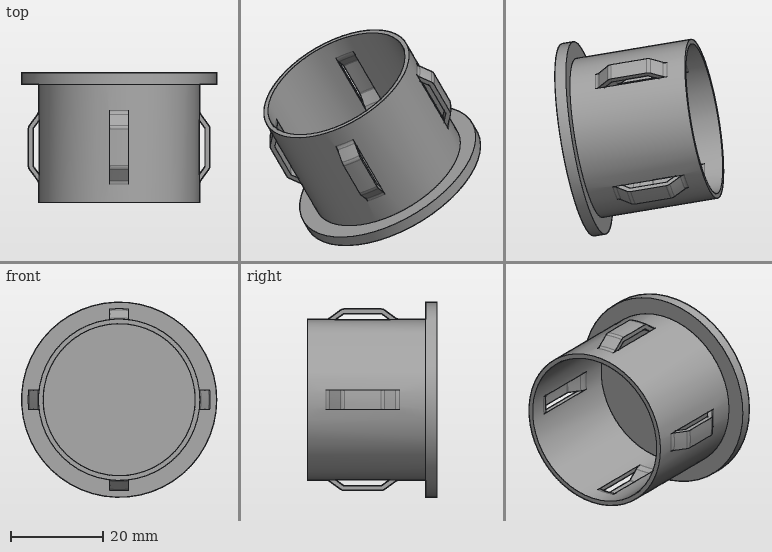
import cadquery as cq
import math

flange_radius = 21.2
flange_thickness = 2.5
total_length = 28.2
tube_radius = 17.5
wall = 1.0
bore_radius = tube_radius - wall

strap_count = 4
strap_width = 4.15
strap_rise = 2.25
strap_half_length = 7.95
strap_center = 16.2
ramp_angle = math.radians(36)
bend_radius = 1.4
sweep_angle = 60

back_y = total_length / 2
floor_y = back_y - flange_thickness
open_y = back_y - total_length
strap_y = back_y - strap_center


def disc(radius, start_y, end_y):
    """Solid cylinder about Y between two positions."""
    return cq.Workplane("XZ", origin=(0, end_y, 0)).circle(radius).extrude(end_y - start_y)


def bow(base_radius, closing_radius, foot_bend, crest_bend):
    """Bow on the +X side, revolved about Y and trimmed to the strap width.

    The bow leaves the base radius through a foot bend, climbs a straight ramp
    and turns through a crest bend into a plateau; both ends are alike.
    """
    def bend_point(bend, angle):
        return bend * math.sin(angle), bend * (1 - math.cos(angle))

    foot_mid_run, foot_mid_rise = bend_point(foot_bend, ramp_angle / 2)
    foot_run, foot_rise = bend_point(foot_bend, ramp_angle)
    crest_mid_run, crest_mid_drop = bend_point(crest_bend, ramp_angle / 2)
    crest_run, crest_drop = bend_point(crest_bend, ramp_angle)
    ramp_rise = strap_rise - foot_rise - crest_drop
    ramp_run = ramp_rise / math.tan(ramp_angle)
    plateau_half = strap_half_length - foot_run - ramp_run - crest_run
    crest_radius = base_radius + strap_rise

    def at(radius, offset):
        return radius, strap_y + offset

    profile = (
        cq.Workplane("XY")
        .moveTo(*at(closing_radius, -strap_half_length))
        .lineTo(*at(base_radius, -strap_half_length))
        .threePointArc(
            at(base_radius + foot_mid_rise, foot_mid_run - strap_half_length),
            at(base_radius + foot_rise, foot_run - strap_half_length),
        )
        .lineTo(*at(crest_radius - crest_drop, -plateau_half - crest_run))
        .threePointArc(
            at(crest_radius - crest_mid_drop, -plateau_half - crest_mid_run),
            at(crest_radius, -plateau_half),
        )
        .lineTo(*at(crest_radius, plateau_half))
        .threePointArc(
            at(crest_radius - crest_mid_drop, plateau_half + crest_mid_run),
            at(crest_radius - crest_drop, plateau_half + crest_run),
        )
        .lineTo(*at(base_radius + foot_rise, strap_half_length - foot_run))
        .threePointArc(
            at(base_radius + foot_mid_rise, strap_half_length - foot_mid_run),
            at(base_radius, strap_half_length),
        )
        .lineTo(*at(closing_radius, strap_half_length))
        .close()
    )
    swept = profile.revolve(sweep_angle, (0, 0), (0, 1)).rotate((0, 0, 0), (0, 1, 0), -sweep_angle / 2)
    trim = cq.Workplane("XY").box(2 * flange_radius, total_length, strap_width)
    return swept.intersect(trim.translate((flange_radius, 0, 0)))


def around_axis(shape):
    """Copies of a shape spaced evenly about Y."""
    return [
        shape.rotate((0, 0, 0), (0, 1, 0), index * 360 / strap_count)
        for index in range(strap_count)
    ]


result = disc(flange_radius, floor_y, back_y).union(disc(tube_radius, open_y, floor_y))
result = result.cut(disc(bore_radius, open_y, floor_y))

outer_bow = bow(tube_radius, bore_radius + wall / 2, bend_radius, bend_radius)
inner_bow = bow(bore_radius, bore_radius - wall, bend_radius + wall, bend_radius - wall)
for outer in around_axis(outer_bow):
    result = result.union(outer)
for inner in around_axis(inner_bow):
    result = result.cut(inner)